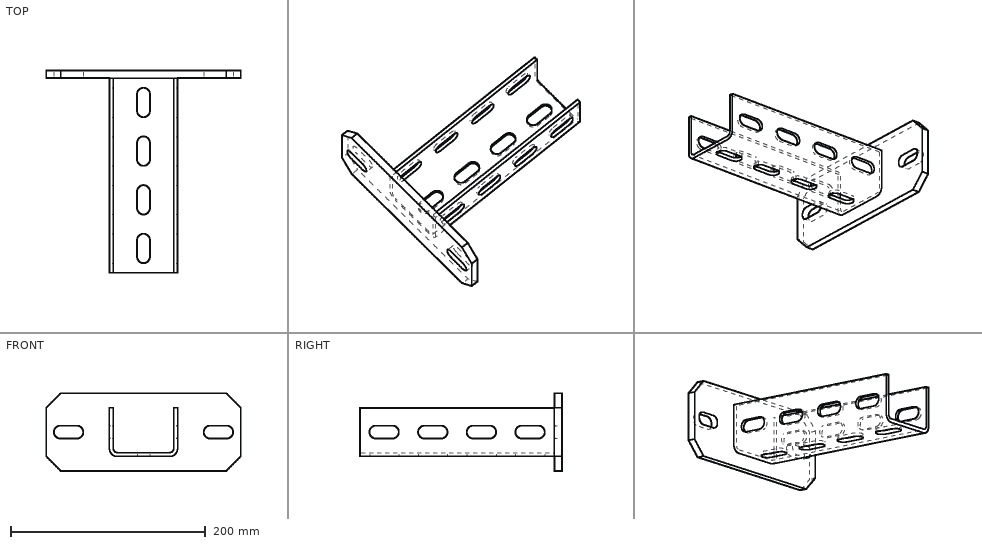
import cadquery as cq

plate_width = 200.0
plate_height = 80.0
plate_thickness = 8.0
plate_corner_chamfer = 15.0

arm_length = 200.0
arm_width = 70.0
arm_height = 50.0
wall = 4.0
bend_inner_radius = 4.0
bend_outer_radius = bend_inner_radius + wall
arm_bottom_z = -arm_height / 2

slot_length = 30.0
slot_width = 13.0
plate_slot_spacing = 154.0
arm_slot_count = 4
arm_slot_pitch = arm_length / arm_slot_count

plate_front_y = -plate_thickness
arm_mid_y = plate_front_y - arm_length / 2
arm_slot_places = [
    arm_mid_y + (i - (arm_slot_count - 1) / 2) * arm_slot_pitch for i in range(arm_slot_count)
]


def make_base_plate():
    """Plate with chamfered corners and a horizontal fixing slot near each end."""
    plate = (
        cq.Workplane("XZ")
        .rect(plate_width, plate_height)
        .extrude(plate_thickness)
        .edges("|Y")
        .chamfer(plate_corner_chamfer)
    )
    slots = (
        cq.Workplane("XZ")
        .rarray(plate_slot_spacing, 1, 2, 1)
        .slot2D(slot_length, slot_width)
        .extrude(plate_thickness)
    )
    return plate.cut(slots)


def make_channel_blank():
    """Bent U section extruded forward from the plate."""
    outer = (
        cq.Workplane("XZ", origin=(0, plate_front_y, 0))
        .rect(arm_width, arm_height)
        .extrude(arm_length)
        .edges("|Y and <Z")
        .fillet(bend_outer_radius)
    )
    inner = (
        cq.Workplane("XZ", origin=(0, plate_front_y, wall))
        .rect(arm_width - 2 * wall, arm_height)
        .extrude(arm_length)
        .edges("|Y and <Z")
        .fillet(bend_inner_radius)
    )
    return outer.cut(inner)


def make_channel_arm():
    """Channel with a row of lengthwise slots through the floor and both side walls."""
    floor_slots = (
        cq.Workplane("XY", origin=(0, 0, arm_bottom_z))
        .pushPoints([(0, y) for y in arm_slot_places])
        .slot2D(slot_length, slot_width, angle=90)
        .extrude(wall)
    )
    side_slots = (
        cq.Workplane("YZ", origin=(-arm_width / 2, 0, 0))
        .pushPoints([(y, 0) for y in arm_slot_places])
        .slot2D(slot_length, slot_width)
        .extrude(arm_width)
    )
    return make_channel_blank().cut(floor_slots).cut(side_slots)


base_plate = make_base_plate()
channel_arm = make_channel_arm()

result = cq.Compound.makeCompound([base_plate.val(), channel_arm.val()])